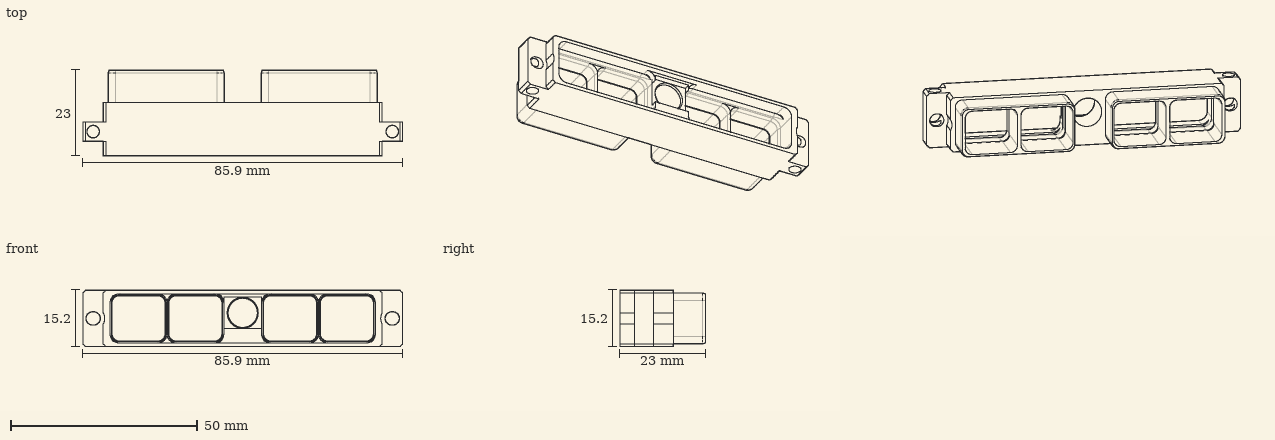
import cadquery as cq
import math

TOTAL_LENGTH = 85.88
TOTAL_DEPTH = 23.03
HEIGHT = 15.16

BODY_LENGTH = 74.9
BODY_DEPTH = 14.35
EDGE_CHAMFER = 0.75

EAR_FRONT = 3.9
EAR_THICKNESS = 5.2
EAR_BACK = EAR_FRONT + EAR_THICKNESS
EAR_HOLE_X = 40.15
EAR_BOLT_DIAMETER = 3.3
EAR_SLOT_LENGTH = 3.8
EAR_SLOT_WIDTH = 3.5
SCREW_HEAD_DIAMETER = 6.2

OPENING_LENGTH = 71.2
OPENING_HEIGHT = 13.15
OPENING_RADIUS = 2.4
OPENING_DEPTH = 1.8
POST_WIDTH = 10.15
POCKET_LENGTH = (OPENING_LENGTH - POST_WIDTH) / 2
POCKET_X = (OPENING_LENGTH + POST_WIDTH) / 4
POCKET_DEPTH = 6.3
DRAFT = math.tan(math.radians(15))

GROOVE_START = 3.9
GROOVE_END = 5.7
GROOVE_SIDE_GAP = 0.25
GROOVE_DEPTH = (GROOVE_END - GROOVE_START) * DRAFT

LEAD_IN_DEPTH = 1.17
LEAD_IN_INSET = LEAD_IN_DEPTH * DRAFT
SEAT_Y = 11.6
SEAT_INSET = 0.21
WINDOW_PITCH = POCKET_LENGTH / 2

BOOT_LENGTH = 31.2
BOOT_HEIGHT = 13.7
BOOT_RADIUS = 2.0
BOOT_X = 20.55
BOOT_OVERLAP = 0.5
BOOT_TIP_LENGTH = 0.8
BOOT_TIP_INSET = 0.25

RECESS_DEPTH = 3.6
RECESS_HEIGHT = 8.5
POST_HOLE_Z = 1.5
POST_HOLE_DIAMETER = 7.85
RIM_WIDTH = 0.25
RIM_DEPTH = 0.6

SIDES = (-1, 1)


def rounded(length, height, radius):
    """Rounded rectangle, length along X and height along Z."""
    return cq.Sketch().rect(length, height).vertices().fillet(radius)


def rounded_inset(length, height, radius, inset):
    """Rounded rectangle drawn in by the same distance all round."""
    return rounded(length - 2 * inset, height - 2 * inset, radius - inset)


def plane_at(x, y):
    """Plane facing the front at depth y, with its origin on x."""
    return cq.Workplane(cq.Plane(origin=(x, y, 0), xDir=(1, 0, 0), normal=(0, -1, 0)))


def bar(outline, x, start, end):
    """Straight bar along Y between two depths."""
    return plane_at(x, start).placeSketch(outline).extrude(start - end)


def taper(front_outline, back_outline, x, start, end):
    """Bar along Y that changes from one outline to another."""
    back = back_outline.moved(cq.Location(cq.Vector(0, 0, start - end)))
    return plane_at(x, start).placeSketch(front_outline, back).loft()


def box_between(length, height, x, z, start, end):
    """Square-edged bar along Y between two depths."""
    return plane_at(x, start).center(0, z).rect(length, height).extrude(start - end)


def make_body():
    """Main block with its two thinner ears, long end edges chamfered."""
    block = box_between(BODY_LENGTH, HEIGHT, 0, 0, 0, BODY_DEPTH)
    block = block.edges("|Y").chamfer(EDGE_CHAMFER)
    ears = box_between(TOTAL_LENGTH, HEIGHT, 0, 0, EAR_FRONT, EAR_BACK)
    ears = ears.edges("|Y").chamfer(EDGE_CHAMFER)
    return block.union(ears)


def make_boot(x):
    """Rear boot with a slightly drawn-in tip."""
    base = rounded(BOOT_LENGTH, BOOT_HEIGHT, BOOT_RADIUS)
    tip = rounded_inset(BOOT_LENGTH, BOOT_HEIGHT, BOOT_RADIUS, BOOT_TIP_INSET)
    tip_start = TOTAL_DEPTH - BOOT_TIP_LENGTH
    straight = bar(base, x, BODY_DEPTH - BOOT_OVERLAP, tip_start)
    return straight.union(taper(base, tip, x, tip_start, TOTAL_DEPTH))


def make_window(x):
    """Tapered lead-in, straight passage and the narrower passage behind the seat."""
    outer = (WINDOW_PITCH, OPENING_HEIGHT, OPENING_RADIUS)
    passage = rounded_inset(*outer, LEAD_IN_INSET)
    rear_passage = rounded_inset(*outer, LEAD_IN_INSET + SEAT_INSET)
    lead_in_end = POCKET_DEPTH + LEAD_IN_DEPTH
    window = taper(rounded(*outer), passage, x, POCKET_DEPTH, lead_in_end)
    window = window.union(bar(passage, x, lead_in_end, SEAT_Y))
    return window.union(bar(rear_passage, x, SEAT_Y, TOTAL_DEPTH))


def make_pocket(x):
    """Pocket with its latch grooves and the two windows behind it."""
    outline = rounded(POCKET_LENGTH, OPENING_HEIGHT, OPENING_RADIUS)
    groove_length = POCKET_LENGTH - 2 * GROOVE_SIDE_GAP
    groove_height = OPENING_HEIGHT + 2 * GROOVE_DEPTH
    groove_front = rounded(groove_length, groove_height, OPENING_RADIUS)
    groove_back = rounded(groove_length, OPENING_HEIGHT, OPENING_RADIUS)
    pocket = bar(outline, x, 0, POCKET_DEPTH)
    pocket = pocket.union(taper(groove_front, groove_back, x, GROOVE_START, GROOVE_END))
    for side in SIDES:
        pocket = pocket.union(make_window(x + side * WINDOW_PITCH / 2))
    return pocket


def make_post_hole():
    """Recess in the central post and the chamfered hole through it."""
    recess = box_between(POST_WIDTH, RECESS_HEIGHT, 0, POST_HOLE_Z, 0, RECESS_DEPTH)
    radius = POST_HOLE_DIAMETER / 2
    start = plane_at(0, RECESS_DEPTH).center(0, POST_HOLE_Z)
    hole = start.circle(radius).extrude(RECESS_DEPTH - BODY_DEPTH)
    rim = start.circle(radius + RIM_WIDTH).workplane(offset=-RIM_DEPTH)
    rim = rim.circle(radius).loft()
    return recess.union(hole).union(rim)


def make_ear_holes(side):
    """Vertical bolt hole, slotted screw hole and the screw-head channel beside the body."""
    x = side * EAR_HOLE_X
    middle = EAR_FRONT + EAR_THICKNESS / 2
    bolt = cq.Workplane("XY").center(x, middle).circle(EAR_BOLT_DIAMETER / 2)
    holes = bolt.extrude(HEIGHT / 2, both=True)
    slot = plane_at(x, 0).slot2D(EAR_SLOT_LENGTH, EAR_SLOT_WIDTH).extrude(-BODY_DEPTH)
    channel = plane_at(x, 0).circle(SCREW_HEAD_DIAMETER / 2).extrude(-BODY_DEPTH)
    ear = box_between(TOTAL_LENGTH, HEIGHT, 0, 0, EAR_FRONT, EAR_BACK)
    return holes.union(slot).union(channel.cut(ear))


result = make_body()
for side in SIDES:
    result = result.union(make_boot(side * BOOT_X))
opening = rounded(OPENING_LENGTH, OPENING_HEIGHT, OPENING_RADIUS)
result = result.cut(bar(opening, 0, 0, OPENING_DEPTH))
for side in SIDES:
    result = result.cut(make_pocket(side * POCKET_X))
    result = result.cut(make_ear_holes(side))
result = result.cut(make_post_hole())